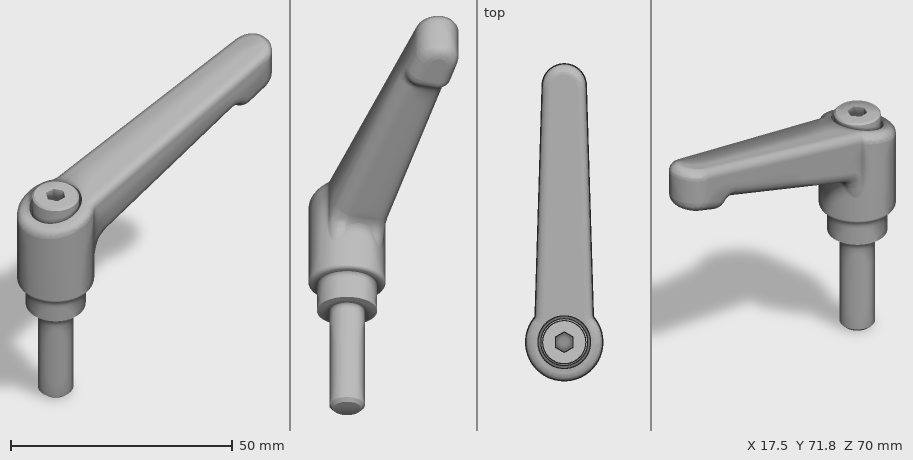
import cadquery as cq
import math

hub_radius = 8.75
hub_bottom_round = 0.85
top_angle = math.radians(15)
hub_top_at_axis = 22.1

arm_reach = 63.0
tip_radius = 5.0
root_half_width = 6.6
root_y = 6.45
underside_angle = math.radians(20)
underside_at_axis = 8.5
grip_depth = 3.15
grip_toe_y = 52.2
grip_heel_y = 50.1
grip_toe_radius = 3.3
grip_heel_radius = 2.0
root_blend_radius = 3.6
root_corner_y = 8.6
root_bottom = 2.9
root_slope_run = 2.15
underside_round = 3.1
top_round = 2.0
junction_blend = 1.0

tolerance = 0.1

head_radius = 5.3
head_top = 24.55
head_bottom = 14.35
head_chamfer = 0.4
shank_radius = 2.5
shank_bottom = 2.9
hex_across_flats = 4.0
hex_depth = 3.6
recess_radius = 5.95

collar_radius = 6.8
collar_top = 8.6
collar_bottom = -6.6
stud_radius = 4.0
stud_bottom = -31.6
stud_chamfer = 0.8


def top_height(y):
    return hub_top_at_axis + y * math.tan(top_angle)


def underside_height(y):
    return underside_at_axis + y * math.tan(underside_angle)


def disc(radius, bottom, top):
    """Upright cylinder on the Z axis."""
    return cq.Workplane("XY").workplane(offset=bottom).circle(radius).extrude(top - bottom)


def make_arm():
    """Arm as the overlap of its side outline and its plan outline."""
    grip_toe = (grip_toe_y, underside_height(grip_toe_y) - grip_depth)
    grip_heel = (grip_heel_y, underside_height(grip_heel_y))
    root_corner = (root_corner_y, underside_height(root_corner_y))
    side = (
        cq.Workplane("YZ")
        .polyline([
            (0, top_height(0)),
            (arm_reach, top_height(arm_reach)),
            (arm_reach, underside_height(arm_reach) - grip_depth),
            grip_toe,
            grip_heel,
            root_corner,
            (root_corner_y - root_slope_run, root_bottom),
            (0, root_bottom),
        ])
        .close()
        .extrude(hub_radius, both=True)
    )
    corners = [(grip_toe, grip_toe_radius), (grip_heel, grip_heel_radius), (root_corner, root_blend_radius)]
    for corner, radius in corners:
        side = side.edges(cq.NearestToPointSelector((0, *corner))).fillet(radius)

    tip_y = arm_reach - tip_radius
    taper = (root_half_width - tip_radius) / (tip_y - root_y)
    flank_angle = math.atan(taper)
    tangent_x = tip_radius * math.cos(flank_angle)
    tangent_y = tip_y + tip_radius * math.sin(flank_angle)
    axis_half_width = tangent_x + taper * tangent_y
    plan = (
        cq.Workplane("XY")
        .moveTo(-axis_half_width, 0)
        .lineTo(-tangent_x, tangent_y)
        .threePointArc((0, arm_reach), (tangent_x, tangent_y))
        .lineTo(axis_half_width, 0)
        .close()
        .extrude(top_height(arm_reach))
    )
    return side.intersect(plan)


def round_arm_underside(arm):
    """Round the lower side edges, from the buried root to and around the tip."""
    def is_lower_side_edge(edge):
        box = edge.BoundingBox()
        middle = edge.Center()
        runs_along_arm = box.ylen > tolerance
        reaches_past_root = box.ymax > root_corner_y - root_slope_run + tolerance
        is_low = middle.z < underside_height(middle.y) + tolerance
        return runs_along_arm and reaches_past_root and is_low

    lower_edges = [edge for edge in arm.edges().vals() if is_lower_side_edge(edge)]
    return cq.Workplane(arm.val().fillet(underside_round, lower_edges))


def make_hub():
    """Cylinder cut off by the sloping plane that the arm's top continues."""
    profile = (
        cq.Workplane("YZ")
        .polyline([
            (-hub_radius, 0),
            (hub_radius, 0),
            (hub_radius, top_height(hub_radius)),
            (-hub_radius, top_height(-hub_radius)),
        ])
        .close()
        .extrude(hub_radius, both=True)
    )
    return profile.intersect(disc(hub_radius, 0, top_height(hub_radius)))


def make_handle():
    """Lever: hub and arm in one piece, with room for the screw and the insert."""
    handle = make_hub().union(round_arm_underside(make_arm())).clean()

    junction_zone = cq.selectors.BoxSelector(
        (-hub_radius, hub_radius / 2, 0),
        (hub_radius, hub_radius, top_height(arm_reach)),
    )
    handle = handle.edges("|Z").edges(junction_zone).fillet(junction_blend)

    top_normal = cq.Vector(0, -math.sin(top_angle), math.cos(top_angle))
    handle = handle.faces(cq.DirectionMinMaxSelector(top_normal, True)).edges().fillet(top_round)
    handle = handle.faces("<Z").edges().fillet(hub_bottom_round)

    head_recess = disc(recess_radius, head_bottom, top_height(hub_radius))
    shank_hole = disc(shank_radius, collar_top, head_bottom)
    insert_socket = disc(collar_radius, 0, collar_top)
    return handle.cut(head_recess).cut(shank_hole).cut(insert_socket)


def make_screw():
    """Cap screw with a hexagon socket whose corners point along Y."""
    head = disc(head_radius, head_bottom, head_top).faces(">Z").chamfer(head_chamfer)
    hex_socket = (
        cq.Workplane("XY")
        .workplane(offset=head_top - hex_depth)
        .polygon(6, hex_across_flats, circumscribed=True)
        .extrude(hex_depth)
    )
    return head.union(disc(shank_radius, shank_bottom, head_bottom)).cut(hex_socket)


def make_insert():
    """Collar seated in the hub, with the stud below and a hole for the screw above."""
    stud = disc(stud_radius, stud_bottom, collar_bottom).faces("<Z").chamfer(stud_chamfer)
    collar = disc(collar_radius, collar_bottom, collar_top)
    return collar.union(stud).cut(disc(shank_radius, shank_bottom, collar_top))


handle = make_handle()
screw = make_screw()
insert = make_insert()
result = cq.Compound.makeCompound([handle.val(), screw.val(), insert.val()])